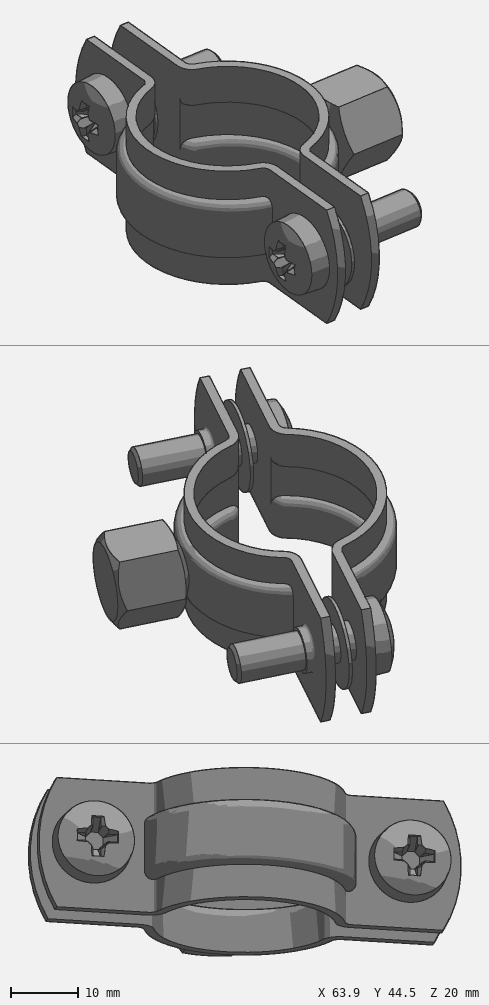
import cadquery as cq
import math


strip_thickness = 1.5
strip_width = 20.0
ring_outer_radius = 15.0
ring_inner_radius = ring_outer_radius - strip_thickness
ear_inner_y = 2.4
ear_outer_y = ear_inner_y + strip_thickness
ear_end_x = 31.95
ear_end_radius = 20.0
bend_radius = 1.3

bend_y = ear_outer_y + bend_radius
bend_x = math.sqrt((ring_outer_radius + bend_radius) ** 2 - bend_y**2)
ring_angle = math.atan2(bend_y, bend_x)

bead_width = 10.0
bead_outer_radius = ring_outer_radius + strip_thickness
bead_flat_width = bead_width - 2 * strip_thickness
groove_width = 6.0

screw_x = 23.95
shank_diameter = 6.0
shank_tip_y = 16.0
shank_chamfer = 0.5
collar_diameter = 7.0
collar_height = 1.55
collar_fillet = 0.5
head_base_diameter = 12.0
head_rim_diameter = 11.55
head_rim_height = 3.1
head_height = 4.8
washer_diameter = 14.0
washer_thickness = 0.5
washer_y = -0.25

recess_depth = 3.05
recess_core_sides = 8
recess_span = 6.2
recess_arm_width = 2.3
recess_core_across_flats = 3.8
recess_floor_across_flats = 2.7
recess_channel_width = 1.15
recess_flank_depth = 1.15

nut_top_y = 28.0
nut_across_flats = 12.9
nut_top_face_diameter = 12.0
nut_top_chamfer_height = 1.0
nut_cone_y = 17.9
nut_base_y = 16.1
nut_base_diameter = 7.0


def spin(profile):
    """Revolve a profile about the vertical axis of its own workplane."""
    return profile.revolve(360, (0, 0, 0), (0, 1, 0))


def upper_strip():
    bend_start_angle = math.pi + ring_angle
    bend_end_angle = 3 * math.pi / 2
    middle_angle = (bend_start_angle + bend_end_angle) / 2

    def ring_end(radius, side):
        return (side * radius * math.cos(ring_angle), radius * math.sin(ring_angle))

    def bend_middle(radius, side):
        return (side * (bend_x + radius * math.cos(middle_angle)), bend_y + radius * math.sin(middle_angle))

    inner_bend_radius = bend_radius + strip_thickness
    outline = (
        cq.Workplane("XY")
        .moveTo(ear_end_x, ear_outer_y)
        .lineTo(bend_x, ear_outer_y)
        .threePointArc(bend_middle(bend_radius, 1), ring_end(ring_outer_radius, 1))
        .threePointArc((0, ring_outer_radius), ring_end(ring_outer_radius, -1))
        .threePointArc(bend_middle(bend_radius, -1), (-bend_x, ear_outer_y))
        .lineTo(-ear_end_x, ear_outer_y)
        .lineTo(-ear_end_x, ear_inner_y)
        .lineTo(-bend_x, ear_inner_y)
        .threePointArc(bend_middle(inner_bend_radius, -1), ring_end(ring_inner_radius, -1))
        .threePointArc((0, ring_inner_radius), ring_end(ring_inner_radius, 1))
        .threePointArc(bend_middle(inner_bend_radius, 1), (bend_x, ear_inner_y))
        .lineTo(ear_end_x, ear_inner_y)
        .close()
    )
    strip = outline.extrude(strip_width / 2, both=True)

    half_width = strip_width / 2
    corner_x = ear_end_x - ear_end_radius + math.sqrt(ear_end_radius**2 - half_width**2)
    plan = (
        cq.Workplane("XZ")
        .moveTo(corner_x, -half_width)
        .threePointArc((ear_end_x, 0), (corner_x, half_width))
        .lineTo(-corner_x, half_width)
        .threePointArc((-ear_end_x, 0), (-corner_x, -half_width))
        .close()
        .extrude(bead_outer_radius, both=True)
    )
    return strip.intersect(plan)


def bead_ridge():
    root_radius = (ring_inner_radius + ring_outer_radius) / 2
    ridge = spin(
        cq.Workplane("XZ")
        .moveTo(root_radius, -bead_width / 2)
        .lineTo(ring_outer_radius, -bead_width / 2)
        .radiusArc((bead_outer_radius, -bead_flat_width / 2), -strip_thickness)
        .lineTo(bead_outer_radius, bead_flat_width / 2)
        .radiusArc((ring_outer_radius, bead_width / 2), -strip_thickness)
        .lineTo(root_radius, bead_width / 2)
        .close()
    )
    span = 2 * bead_outer_radius
    return ridge.intersect(cq.Workplane("XY").box(span, span, span).translate((0, ear_outer_y + span / 2, 0)))


def bead_groove():
    """Cutter for the inside of the bead; its mouth is rolled over along the ring and around both bends."""
    roll_radius = strip_thickness
    roll_z = groove_width / 2 + roll_radius
    cutter = cq.Workplane("XY").circle(ring_outer_radius).extrude(roll_z, both=True)
    ring_sweep = 180 - 2 * math.degrees(ring_angle)
    axis_half_height = math.sqrt(roll_radius**2 - bend_radius**2)
    for z in (-roll_z, roll_z):
        ring_roll = (
            cq.Workplane("XZ")
            .center(ring_outer_radius, z)
            .circle(roll_radius)
            .revolve(ring_sweep, (-ring_outer_radius, 0, 0), (-ring_outer_radius, 1, 0))
            .rotate((0, 0, 0), (0, 0, 1), math.degrees(ring_angle))
        )
        cutter = cutter.cut(ring_roll)
        bend_roll = spin(
            cq.Workplane("XZ")
            .moveTo(0, -axis_half_height)
            .threePointArc((bend_radius + roll_radius, 0), (0, axis_half_height))
            .close()
        )
        for side in (-1, 1):
            cutter = cutter.cut(bend_roll.translate((side * bend_x, bend_y, z)))
    return cutter


def cross_recess(top_y):
    """Tapered cross with an eight-sided core, opening towards -Y at top_y."""
    mouth = cq.Workplane("XZ", origin=(0, top_y, 0))

    flanks = (
        mouth.rect(recess_span, recess_arm_width)
        .workplane(offset=-recess_flank_depth)
        .rect(recess_span, recess_channel_width)
        .loft()
    )
    channel = (
        mouth.workplane(offset=-recess_flank_depth)
        .rect(recess_span, recess_channel_width)
        .workplane(offset=recess_flank_depth - recess_depth)
        .rect(recess_floor_across_flats, recess_channel_width)
        .loft()
    )
    arms_along_x = flanks.union(channel)
    arms_along_z = arms_along_x.rotate((0, 0, 0), (0, 1, 0), 90)

    half_side_angle = 180 / recess_core_sides
    to_corners = 1 / math.cos(math.radians(half_side_angle))
    core = (
        mouth.polygon(recess_core_sides, recess_core_across_flats * to_corners)
        .workplane(offset=-recess_depth)
        .polygon(recess_core_sides, recess_floor_across_flats * to_corners)
        .loft()
        .rotate((0, 0, 0), (0, 1, 0), half_side_angle)
    )
    return arms_along_x.union(arms_along_z).union(core)


def screw():
    """Screw on the Y axis with its washer and the collar of the upper ear."""
    head_top_y = -ear_outer_y - head_height
    rim_y = -ear_outer_y - head_rim_height
    rim_radius = head_rim_diameter / 2
    dome_height = head_height - head_rim_height
    dome_radius = (rim_radius**2 + dome_height**2) / (2 * dome_height)
    shank_radius = shank_diameter / 2
    body = spin(
        cq.Workplane("XY")
        .moveTo(0, head_top_y)
        .radiusArc((rim_radius, rim_y), -dome_radius)
        .lineTo(head_base_diameter / 2, -ear_outer_y)
        .lineTo(shank_radius, -ear_outer_y)
        .lineTo(shank_radius, shank_tip_y - shank_chamfer)
        .lineTo(shank_radius - shank_chamfer, shank_tip_y)
        .lineTo(0, shank_tip_y)
        .close()
    )

    collar_radius = collar_diameter / 2
    collar = spin(
        cq.Workplane("XY")
        .moveTo(0, ear_inner_y)
        .lineTo(collar_radius + collar_fillet, ear_inner_y)
        .lineTo(collar_radius + collar_fillet, ear_outer_y)
        .radiusArc((collar_radius, ear_outer_y + collar_fillet), collar_fillet)
        .lineTo(collar_radius, ear_outer_y + collar_height)
        .lineTo(0, ear_outer_y + collar_height)
        .close()
    )
    washer = cq.Workplane("XZ", origin=(0, washer_y, 0)).circle(washer_diameter / 2)
    washer = washer.extrude(washer_thickness / 2, both=True)
    return body.cut(cross_recess(head_top_y)).union(collar).union(washer)


def nut():
    corner_radius = nut_across_flats / math.sqrt(3)
    hexagon = (
        cq.Workplane("XZ", origin=(0, nut_top_y, 0))
        .polygon(6, 2 * corner_radius)
        .extrude(nut_top_y - nut_base_y)
    )
    envelope = spin(
        cq.Workplane("XY")
        .moveTo(0, nut_base_y)
        .lineTo(nut_base_diameter / 2, nut_base_y)
        .lineTo(corner_radius, nut_cone_y)
        .lineTo(corner_radius, nut_top_y - nut_top_chamfer_height)
        .lineTo(nut_top_face_diameter / 2, nut_top_y)
        .lineTo(0, nut_top_y)
        .close()
    )
    return hexagon.intersect(envelope)


clamp_half = upper_strip().union(bead_ridge()).cut(bead_groove())
result = clamp_half.union(clamp_half.mirror("XZ")).union(nut())
for x in (-screw_x, screw_x):
    result = result.union(screw().translate((x, 0, 0)))